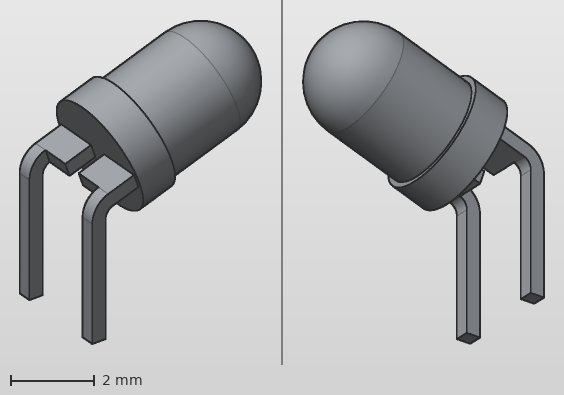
import cadquery as cq
import math

tilt = 18.8
flange_diameter = 3.2
flange_thickness = 1.0
lens_diameter = 2.9
lens_straight = 2.15
lens_radius = lens_diameter / 2

lead_size = 0.4
lead_pitch = 2.54
pad_width = 1.2
pad_length = 0.8
bend_outer_radius = 0.7
bend_inner_radius = bend_outer_radius - lead_size
lead_drop = 3.34
bend_angle = 90 - tilt
outer_face_x = (lead_pitch + lead_size) / 2


def make_body():
    """Flange and domed lens, revolved about the Y axis."""
    dome_start = flange_thickness + lens_straight
    dome_mid = lens_radius * math.sqrt(0.5)
    profile = (
        cq.Workplane("XY")
        .lineTo(flange_diameter / 2, 0)
        .lineTo(flange_diameter / 2, flange_thickness)
        .lineTo(lens_radius, flange_thickness)
        .lineTo(lens_radius, dome_start)
        .threePointArc((dome_mid, dome_start + dome_mid), (0, dome_start + lens_radius))
        .close()
    )
    return profile.revolve(360, (0, 0), (0, 1))


def bend_point(radius, angle, drop=0):
    """(Y, Z) at an angle around the bend, moved on along the lead by drop."""
    a = math.radians(angle)
    y = -pad_length - radius * math.sin(a) - drop * math.cos(a)
    z = lead_size / 2 - bend_outer_radius + radius * math.cos(a) - drop * math.sin(a)
    return y, z


def make_lead():
    """Lead on the +X side: wide pad, bend and straight drop."""
    half = lead_size / 2
    strip = (
        cq.Workplane("YZ", origin=(outer_face_x - lead_size, 0, 0))
        .moveTo(0, half)
        .lineTo(-pad_length, half)
        .threePointArc(bend_point(bend_outer_radius, bend_angle / 2), bend_point(bend_outer_radius, bend_angle))
        .lineTo(*bend_point(bend_outer_radius, bend_angle, lead_drop))
        .lineTo(*bend_point(bend_inner_radius, bend_angle, lead_drop))
        .lineTo(*bend_point(bend_inner_radius, bend_angle))
        .threePointArc(bend_point(bend_inner_radius, bend_angle / 2), (-pad_length, -half))
        .lineTo(0, -half)
        .close()
        .extrude(lead_size)
    )
    pad = cq.Workplane("XY").box(pad_width, pad_length, lead_size).translate(
        (outer_face_x - pad_width / 2, -pad_length / 2, 0)
    )
    return strip.union(pad)


lead = make_lead()
led = make_body().union(lead).union(lead.mirror("YZ"))

result = led.rotate((0, 0, 0), (1, 0, 0), tilt)